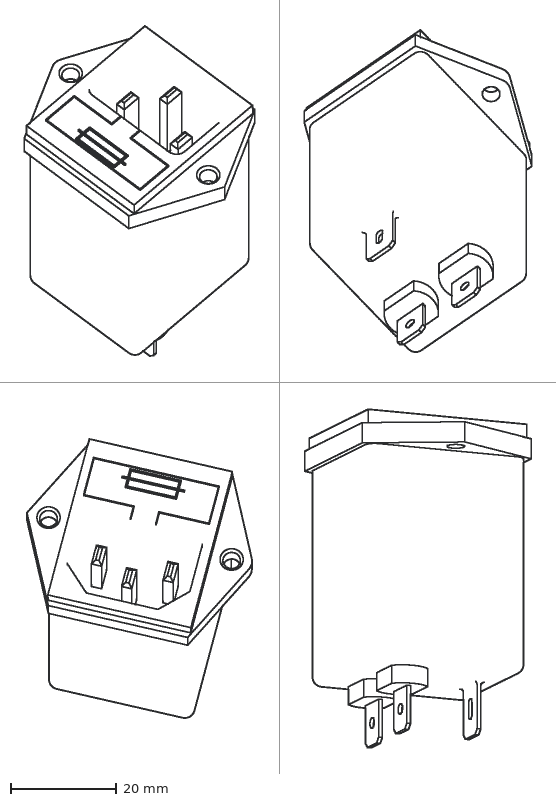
import cadquery as cq


plate_width = 27.95
plate_depth = 32.85
plate_thickness = 2.65
flange_tip_x = 22.1
flange_corner_x = 13.6
flange_depth = 35.0
flange_thickness = 3.9
flange_tip_radius = 2.75
mount_hole_x = 17.9
mount_hole_diameter = 3.3
countersink_diameter = 4.4
countersink_angle = 90
body_width = 28.4
body_depth = 32.6
body_bottom_z = -48.4
body_edge_radius = 1.9

socket_width = 23.95
socket_top_y = 14.15
socket_bottom_y = -2.35
socket_chamfer = 5.0
socket_bottom_radius = 2.0
socket_corner_radius = 0.5
socket_rim_radius = 0.5
socket_floor_z = -16.85
socket_floor_radius = socket_corner_radius

pin_width = 2.0
pin_depth = 4.0
pin_tip_inset = 0.65
pin_tip_height = 0.9
earth_pin_y = 8.65
earth_pin_top_z = -1.0
line_pin_x = 7.0
line_pin_y = 4.15
line_pin_top_z = -4.6

groove_width = 0.1
groove_depth = 0.2
drawer_width = 24.55
drawer_top_y = -5.0
drawer_bottom_y = -12.95
drawer_tongue_width = 5.05
symbol_y = -10.4
symbol_width = 10.0
symbol_depth = 3.85
symbol_line_width = 0.3
symbol_wire_length = 12.15

line_tab_width = 6.25
earth_tab_width = 6.5
tab_thickness = 0.8
tab_chamfer = 0.95
line_tab_x = 6.7
line_tab_y = -6.2
line_tab_bottom_z = -60.2
line_tab_hole_z = -55.85
line_tab_hole_diameter = 2.0
boss_diameter = 10.3
boss_depth = 7.4
boss_height = 3.5
earth_tab_y = 11.2
earth_tab_bottom_z = -58.4
earth_tab_slot_z = -53.0
earth_tab_slot_length = 4.0
earth_tab_slot_width = 1.5
earth_tab_root_radius = 0.6

flange_top_z = -plate_thickness
flange_bottom_z = flange_top_z - flange_thickness
boss_bottom_z = body_bottom_z - boss_height


def box_between(width, depth, bottom_z, top_z, x=0, y=0):
    """Upright box centred on (x, y) and spanning two heights."""
    return cq.Workplane("XY", origin=(x, y, bottom_z)).rect(width, depth).extrude(top_z - bottom_z)


def make_flange():
    half_depth = flange_depth / 2
    corner_x = flange_corner_x
    outline = [
        (flange_tip_x, 0),
        (corner_x, half_depth),
        (-corner_x, half_depth),
        (-flange_tip_x, 0),
        (-corner_x, -half_depth),
        (corner_x, -half_depth),
    ]
    flange = cq.Workplane("XY", origin=(0, 0, flange_bottom_z)).polyline(outline).close()
    flange = flange.extrude(flange_thickness).edges("|Z and <X").fillet(flange_tip_radius)
    return (
        flange.faces(">Z").workplane(origin=(0, 0, flange_top_z))
        .pushPoints([(-mount_hole_x, 0), (mount_hole_x, 0)])
        .cskHole(mount_hole_diameter, countersink_diameter, countersink_angle)
    )


def make_body():
    body = box_between(body_width, body_depth, body_bottom_z, flange_bottom_z)
    return body.edges("|Z").fillet(body_edge_radius).faces("<Z").edges().fillet(body_edge_radius)


def is_chamfer_corner(edge):
    """True for the vertical edges at both ends of the two chamfered socket corners."""
    middle_y = (socket_top_y + socket_bottom_y) / 2
    return edge.Center().y > middle_y


def make_socket_cavity():
    half_width = socket_width / 2
    outline = [
        (-half_width, socket_bottom_y),
        (half_width, socket_bottom_y),
        (half_width, socket_top_y - socket_chamfer),
        (half_width - socket_chamfer, socket_top_y),
        (-half_width + socket_chamfer, socket_top_y),
        (-half_width, socket_top_y - socket_chamfer),
    ]
    cavity = cq.Workplane("XY").polyline(outline).close().extrude(socket_floor_z)
    cavity = cavity.edges("|Z and <Y").fillet(socket_bottom_radius)
    cavity = cavity.edges("|Z").filter(is_chamfer_corner).fillet(socket_corner_radius)
    return cavity.faces("<Z").edges().fillet(socket_floor_radius)


def make_pin(x, y, top_z):
    shoulder_z = top_z - pin_tip_height
    shank = box_between(pin_width, pin_depth, socket_floor_z, shoulder_z, x, y)
    tip = (
        cq.Workplane("XY", origin=(x, y, shoulder_z)).rect(pin_width, pin_depth)
        .workplane(offset=pin_tip_height)
        .rect(pin_width - 2 * pin_tip_inset, pin_depth - 2 * pin_tip_inset)
        .loft(ruled=True)
    )
    return shank.union(tip)


def make_drawer_groove():
    """Narrow gap around the fuse drawer and both sides of its tongue."""
    drawer_depth = drawer_top_y - drawer_bottom_y
    drawer_y = (drawer_top_y + drawer_bottom_y) / 2
    tongue_depth = socket_bottom_y - drawer_top_y
    tongue_y = (socket_bottom_y + drawer_top_y) / 2

    def drawer_shape(inset):
        outline_margin = 2 * inset
        drawer = box_between(
            drawer_width - outline_margin, drawer_depth - outline_margin, -groove_depth, 0, y=drawer_y
        )
        tongue = box_between(
            drawer_tongue_width - outline_margin, tongue_depth + outline_margin, -groove_depth, 0, y=tongue_y
        )
        return drawer.union(tongue)

    return drawer_shape(0).cut(drawer_shape(groove_width))


def make_fuse_symbol():
    frame = box_between(symbol_width, symbol_depth, -groove_depth, 0, y=symbol_y)
    inner_width = symbol_width - 2 * symbol_line_width
    inner_depth = symbol_depth - 2 * symbol_line_width
    inside = box_between(inner_width, inner_depth, -groove_depth, 0, y=symbol_y)
    wire = box_between(symbol_wire_length, symbol_line_width, -groove_depth, 0, y=symbol_y)
    return frame.cut(inside).union(wire)


def make_tab(width, x, y, bottom_z, top_z):
    tab = box_between(width, tab_thickness, bottom_z, top_z, x, y)
    return tab.edges("|Y and <Z").chamfer(tab_chamfer)


def make_line_terminal(x):
    boss = cq.Workplane("XY", origin=(x, line_tab_y, boss_bottom_z)).circle(boss_diameter / 2)
    boss = boss.extrude(boss_height)
    boss = boss.intersect(box_between(boss_diameter, boss_depth, boss_bottom_z, body_bottom_z, x, line_tab_y))
    hole = (
        cq.Workplane("XZ", origin=(x, line_tab_y, line_tab_hole_z))
        .circle(line_tab_hole_diameter / 2).extrude(tab_thickness, both=True)
    )
    tab = make_tab(line_tab_width, x, line_tab_y, line_tab_bottom_z, boss_bottom_z).cut(hole)
    return boss.union(tab)


def add_earth_terminal(part):
    slot = (
        cq.Workplane("XZ", origin=(0, earth_tab_y, earth_tab_slot_z))
        .slot2D(earth_tab_slot_length, earth_tab_slot_width, 90).extrude(tab_thickness, both=True)
    )
    tab = make_tab(earth_tab_width, 0, earth_tab_y, earth_tab_bottom_z, body_bottom_z).cut(slot)
    root = cq.selectors.BoxSelector(
        (-earth_tab_width, earth_tab_y - tab_thickness, body_bottom_z - tab_thickness / 2),
        (earth_tab_width, earth_tab_y + tab_thickness, body_bottom_z + tab_thickness / 2),
    )
    return part.union(tab).edges(root).fillet(earth_tab_root_radius)


def round_socket_rim(part):
    half_width = socket_width / 2
    rim = cq.selectors.BoxSelector(
        (-half_width - socket_rim_radius, socket_bottom_y - socket_rim_radius, -socket_rim_radius / 2),
        (half_width + socket_rim_radius, socket_top_y + socket_rim_radius, socket_rim_radius / 2),
    )
    return part.edges(rim).fillet(socket_rim_radius)


result = box_between(plate_width, plate_depth, flange_top_z, 0)
result = result.union(make_flange()).union(make_body())
result = add_earth_terminal(result)
result = round_socket_rim(result.cut(make_socket_cavity()))
result = result.union(make_pin(0, earth_pin_y, earth_pin_top_z))
for side in (-1, 1):
    result = result.union(make_pin(side * line_pin_x, line_pin_y, line_pin_top_z))
    result = result.union(make_line_terminal(side * line_tab_x))
result = result.cut(make_drawer_groove()).cut(make_fuse_symbol())